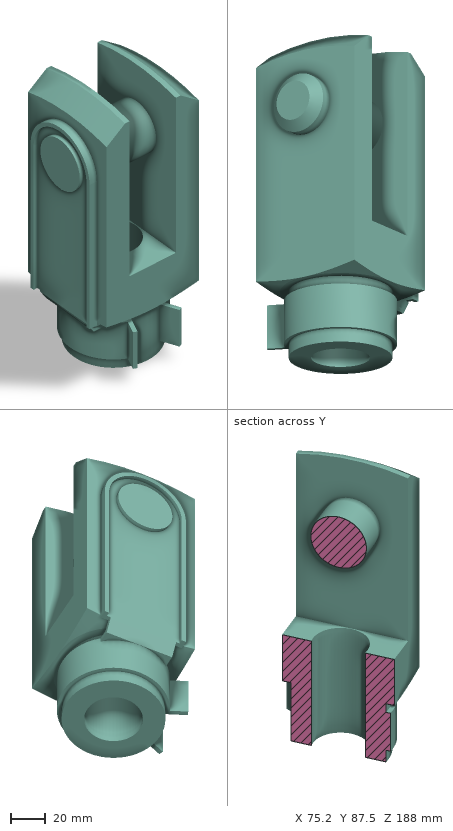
import cadquery as cq
import math

body_width = 70.0
body_bottom_z = 40.0
total_height = 188.0
slot_width = 35.0
slot_floor_z = 72.0
neck_radius = 30.0
bore_radius = 17.0

tip_radius = 148.0
tip_centre_z = total_height - tip_radius
bevel_drop = 10.0
bevel_depth = 14.0

cone_start_radius = body_width / 2
cone_angle = 14.0

pin_radius = 17.5
pin_z = 144.0
pin_tail_length = 12.0
pin_chamfer_length = 5.5
pin_chamfer_inset = 5.8

sheet = 2.75
clip_half_width = 26.3
clip_rim_height = 2 * sheet
bend_z = 39.0
tab_half_width = 21.2
tab_angle = 33.4
tab_end_y = -24.3

ring_radius = neck_radius + sheet
ring_bottom_z = 8.0
ring_top_z = 34.4
lip_angle = 23.5
lip_end_radius = 43.2

half_body = body_width / 2
pin_tail_y = half_body + pin_tail_length
clip_face_y = -half_body - clip_rim_height


def make_tip_envelope():
    """Body column with a rounded top whose outer faces bevel along the arc."""
    column = cq.Workplane("XY").box(
        body_width, body_width, total_height, centered=(True, True, False)
    )
    flat_half = half_body - bevel_depth
    bevel_profile = [
        (0, -half_body),
        (tip_radius - bevel_drop, -half_body),
        (tip_radius, -flat_half),
        (tip_radius, flat_half),
        (tip_radius - bevel_drop, half_body),
        (0, half_body),
    ]
    drum = (
        cq.Workplane("XY", origin=(0, 0, tip_centre_z))
        .polyline(bevel_profile)
        .close()
        .revolve(360, (0, 0, 0), (0, 1, 0))
    )
    return column.intersect(drum)


def make_turned_envelope():
    """Round blank with a conical lower end that trims the body corners."""
    blank_radius = body_width
    cone_rise = (blank_radius - cone_start_radius) * math.tan(math.radians(cone_angle))
    profile = [
        (0, body_bottom_z),
        (cone_start_radius, body_bottom_z),
        (blank_radius, body_bottom_z + cone_rise),
        (blank_radius, total_height),
        (0, total_height),
    ]
    return cq.Workplane("XZ").polyline(profile).close().revolve(360, (0, 0, 0), (0, 1, 0))


def make_fork():
    body = make_tip_envelope().intersect(make_turned_envelope())
    neck = cq.Workplane("XY").circle(neck_radius).extrude(slot_floor_z)
    slot = cq.Workplane("XY", origin=(0, 0, slot_floor_z)).box(
        body_width, slot_width, total_height, centered=(True, True, False)
    )
    bore = cq.Workplane("XY").circle(bore_radius).extrude(slot_floor_z)
    return body.union(neck).cut(slot).cut(bore)


def make_pin():
    tail = pin_tail_y - pin_chamfer_length
    profile = [
        (0, clip_face_y),
        (pin_radius, clip_face_y),
        (pin_radius, tail),
        (pin_radius - pin_chamfer_inset, pin_tail_y),
        (0, pin_tail_y),
    ]
    return (
        cq.Workplane("XY", origin=(0, 0, pin_z))
        .polyline(profile)
        .close()
        .revolve(360, (0, 0, 0), (0, 1, 0))
    )


def arched_plate(half_width, bottom_z, start_y, end_y):
    """Plate normal to Y with a round top centred on the pin."""
    plane = cq.Workplane("XZ", origin=(0, start_y, 0))
    return (
        plane.moveTo(-half_width, bottom_z)
        .lineTo(-half_width, pin_z)
        .threePointArc((0, pin_z + half_width), (half_width, pin_z))
        .lineTo(half_width, bottom_z)
        .close()
        .extrude(start_y - end_y)
    )


def make_clip_plate():
    """Dished plate: a floor one sheet thick with a raised rim on three sides."""
    floor_y = -half_body - sheet
    plate = arched_plate(clip_half_width, body_bottom_z, -half_body, clip_face_y)
    recess = arched_plate(clip_half_width - sheet, body_bottom_z, floor_y, clip_face_y)
    return plate.cut(recess)


def make_clip_tab():
    """Strip that slopes from the plate floor inwards and then lies flat at the ring top."""
    slope = math.radians(tab_angle)
    inner_y = -half_body
    outer_y = inner_y - sheet
    lower_z = ring_top_z - sheet
    upper_bend_shift = sheet * math.tan(slope / 2)
    lower_bend_shift = sheet * math.tan((math.pi / 2 - slope) / 2)
    knee_y = outer_y + (bend_z - lower_z) * math.tan(slope)
    profile = [
        (inner_y, body_bottom_z + sheet),
        (outer_y, body_bottom_z + sheet),
        (outer_y, bend_z),
        (knee_y, lower_z),
        (tab_end_y, lower_z),
        (tab_end_y, ring_top_z),
        (knee_y + lower_bend_shift, ring_top_z),
        (inner_y, bend_z + upper_bend_shift),
    ]
    return cq.Workplane("YZ").polyline(profile).close().extrude(tab_half_width, both=True)


def make_clip_ring():
    """Ring open towards +X, each open end turned outwards into a radial lip."""
    height = ring_top_z - ring_bottom_z
    base = cq.Workplane("XY", origin=(0, 0, ring_bottom_z))
    ring = base.circle(ring_radius).circle(neck_radius).extrude(height)
    gap_x = 2 * ring_radius
    gap_y = gap_x * math.tan(math.radians(lip_angle))
    gap = base.polyline([(0, 0), (gap_x, -gap_y), (gap_x, gap_y)]).close().extrude(height)
    ring = ring.cut(gap)
    lip_start = neck_radius - sheet
    lip_length = lip_end_radius - lip_start
    for angle in (-lip_angle, lip_angle):
        lip = base.center(lip_start + lip_length / 2, 0).rect(lip_length, sheet).extrude(height)
        ring = ring.union(lip.rotate((0, 0, 0), (0, 0, 1), angle))
    return ring


result = (
    make_fork()
    .union(make_pin())
    .union(make_clip_plate())
    .union(make_clip_tab())
    .union(make_clip_ring())
)